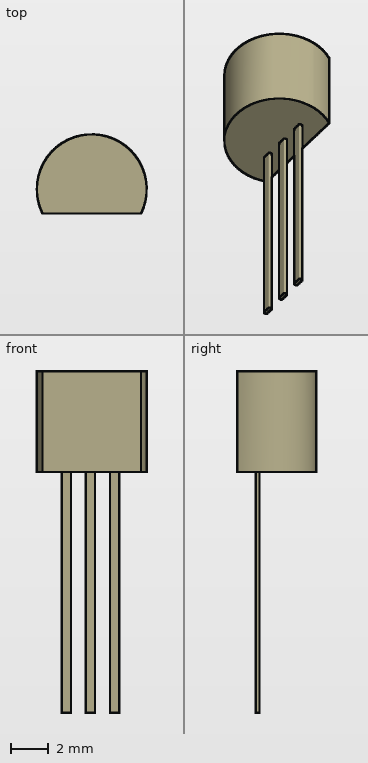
import cadquery as cq
import math

body_radius = 5.81 / 2
body_depth = 4.19
total_height = 18.03
lead_length = 12.7
body_height = total_height - lead_length
flat_y = body_radius - body_depth
flat_half_width = math.sqrt(body_radius**2 - flat_y**2)

lead_count = 3
lead_pitch = 1.27
lead_width = 0.5
lead_thickness = 0.2
lead_edge_radius = 0.05
lead_row_x = -0.07
lead_row_y = -0.2


def make_body():
    """Extrude a circle segment whose round side is two arcs meeting at its -X extreme."""
    flat_angle = math.atan2(flat_y, -flat_half_width) + 2 * math.pi
    short_arc_angle = (math.pi + flat_angle) / 2
    short_arc_middle = (
        body_radius * math.cos(short_arc_angle),
        body_radius * math.sin(short_arc_angle),
    )
    return (
        cq.Workplane("XY")
        .moveTo(flat_half_width, flat_y)
        .threePointArc((0, body_radius), (-body_radius, 0))
        .threePointArc(short_arc_middle, (-flat_half_width, flat_y))
        .close()
        .extrude(body_height)
    )


def make_lead(x):
    """Make a flat strip lead with its four long edges rounded."""
    return (
        cq.Workplane("XY")
        .center(x, lead_row_y)
        .rect(lead_width, lead_thickness)
        .extrude(-lead_length)
        .edges("|Z")
        .fillet(lead_edge_radius)
    )


result = make_body()
for index in range(lead_count):
    offset = (index - (lead_count - 1) / 2) * lead_pitch
    result = result.union(make_lead(lead_row_x + offset))